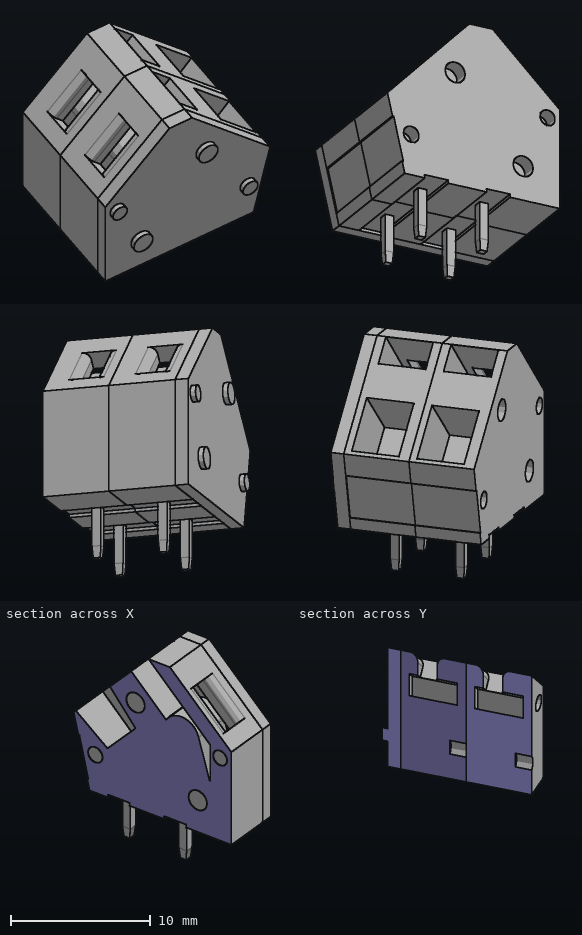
import cadquery as cq
import math


pole_count = 2
pole_pitch = 5.0
end_plate_thickness = 1.0

front_height = 7.84
ridge_height = 13.0
ridge_front_y = 5.45
ridge_back_y = 7.36
back_corner_y = 14.0
back_corner_z = 6.09
bottom_back_y = 12.59
outline = [
    (0, 0),
    (0, front_height),
    (ridge_front_y, ridge_height),
    (ridge_back_y, ridge_height),
    (back_corner_y, back_corner_z),
    (bottom_back_y, 0),
]
front_slope = math.atan2(ridge_height - front_height, ridge_front_y)
back_slope = math.atan2(ridge_height - back_corner_z, back_corner_y - ridge_back_y)
back_lean = math.atan2(back_corner_y - bottom_back_y, back_corner_z)

wire_entry_x = 2.95
wire_entry_width = 2.6
wire_entry_bottom_y = 1.02
wire_entry_top_y = 3.9
wire_entry_round = 0.6
overlap_into_slot = 0.16
wire_throat_width = wire_entry_width - 2 * wire_entry_round

slot_width = 3.63
slot_top_y = 7.38
slot_bottom_y = 8.88
slot_end_y = 1.9
mouth_clearance = 0.33

nose_radius = 1.6
nose_y = 4.44
nose_z = 7.6
nose_front_elevation = math.radians(16.5)

pocket_x = 2.65
pocket_width = 3.61
pocket_bottom_y = 13.78
pocket_top_y = 10.79
pocket_depth = 3.8
pocket_draft = 6.2

pegs = [
    (8.5, 8.9, 1.6),
    (2.99, 2.69, 1.6),
    (1.0, 6.96, 1.2),
    (12.06, 3.2, 1.25),
]
peg_length = 0.4
peg_hole_depth = 1.24

back_recess_depth = 0.1
back_recess_top = 4.32
back_recess_bottom = 0.94

pin_rows_y = [pole_pitch, 2 * pole_pitch]
pin_width = 0.7
pin_tip_width = 0.55
pin_reach = 3.5
pin_tip_length = 0.87
notch_width = 1.91
notch_height = 0.25


def side_prism(points, width, x_start=0):
    """Extrude a closed (y, z) outline along +X."""
    return cq.Workplane("YZ", origin=(x_start, 0, 0)).polyline(points).close().extrude(width)


def front_slope_z(y):
    return front_height + y * math.tan(front_slope)


def back_slope_z(y):
    return ridge_height - (y - ridge_back_y) * math.tan(back_slope)


def beyond_back_slope(y, distance):
    """Point the given distance out from the back slope, square to it from the place at y."""
    return (
        y + distance * math.sin(back_slope),
        back_slope_z(y) + distance * math.cos(back_slope),
    )


def slot_line_z(start_y, y):
    """Height at y of the slot wall that enters the back slope at start_y."""
    return back_slope_z(start_y) - (start_y - y) / math.tan(back_slope)


def spring_slot():
    points = [
        (slot_end_y, slot_line_z(slot_top_y, slot_end_y)),
        (slot_end_y, slot_line_z(slot_bottom_y, slot_end_y)),
        beyond_back_slope(slot_bottom_y, mouth_clearance),
        beyond_back_slope(slot_top_y, mouth_clearance),
    ]
    return side_prism(points, slot_width, (pole_pitch - slot_width) / 2)


def spring_nose():
    """Round nose with a flat front face that runs down tangent to it."""
    x_start = (pole_pitch - slot_width) / 2
    nose = (
        cq.Workplane("YZ", origin=(x_start, nose_y, nose_z))
        .circle(nose_radius)
        .extrude(slot_width)
    )
    tangent_y = nose_y - nose_radius * math.cos(nose_front_elevation)
    tangent_z = nose_z + nose_radius * math.sin(nose_front_elevation)
    foot_z = tangent_z - (tangent_y - slot_end_y) / math.tan(nose_front_elevation)
    foot = side_prism(
        [(tangent_y, tangent_z), (slot_end_y, foot_z), (nose_y, foot_z), (nose_y, nose_z)],
        slot_width,
        x_start,
    )
    return nose.union(foot)


def wire_entry():
    """Square-ended opening whose two sides are rounded over into a narrower throat."""
    height = (wire_entry_top_y - wire_entry_bottom_y) / math.cos(front_slope)
    slot_depth = math.cos(front_slope) * (front_slope_z(slot_top_y) - back_slope_z(slot_top_y))
    depth = slot_depth + overlap_into_slot
    lower_edge = cq.Plane(
        origin=(wire_entry_x, wire_entry_bottom_y, front_slope_z(wire_entry_bottom_y)),
        xDir=(1, 0, 0),
        normal=(0, math.cos(front_slope), math.sin(front_slope)),
    )
    half_entry = wire_entry_width / 2
    half_throat = wire_throat_width / 2
    bend = wire_entry_round * (1 - math.sqrt(0.5))
    return (
        cq.Workplane(lower_edge)
        .moveTo(-half_entry, 0)
        .threePointArc((-half_throat - bend, bend), (-half_throat, wire_entry_round))
        .lineTo(-half_throat, depth)
        .lineTo(half_throat, depth)
        .lineTo(half_throat, wire_entry_round)
        .threePointArc((half_throat + bend, bend), (half_entry, 0))
        .close()
        .extrude(height)
    )


def tool_pocket():
    middle_y = (pocket_bottom_y + pocket_top_y) / 2
    length = (pocket_bottom_y - pocket_top_y) / math.cos(back_slope)
    mouth = cq.Plane(
        origin=(pocket_x, middle_y, back_slope_z(middle_y)),
        xDir=(1, 0, 0),
        normal=(0, -math.sin(back_slope), -math.cos(back_slope)),
    )
    return cq.Workplane(mouth).rect(pocket_width, length).extrude(pocket_depth, taper=pocket_draft)


def back_recess():
    def back_face_y(z):
        return bottom_back_y + z * math.tan(back_lean)

    inset = back_recess_depth / math.cos(back_lean)
    points = [
        (back_face_y(back_recess_bottom), back_recess_bottom),
        (back_face_y(back_recess_bottom) - inset, back_recess_bottom),
        (back_face_y(back_recess_top) - inset, back_recess_top),
        (back_face_y(back_recess_top), back_recess_top),
    ]
    return side_prism(points, pole_pitch)


def peg_cylinders(x_start, length):
    cylinders = cq.Workplane("YZ", origin=(x_start, 0, 0))
    for y, z, diameter in pegs:
        cylinders = cylinders.moveTo(y, z).circle(diameter / 2)
    return cylinders.extrude(length)


def make_housing(pole):
    housing = side_prism(outline, pole_pitch)
    housing = housing.cut(spring_slot().cut(spring_nose()))
    housing = housing.cut(wire_entry()).cut(tool_pocket()).cut(back_recess())
    housing = housing.cut(peg_cylinders(0, peg_hole_depth))
    for y in pin_rows_y:
        notch = cq.Workplane("XY", origin=(pole_pitch / 2, y, 0)).rect(pole_pitch, notch_width)
        housing = housing.cut(notch.extrude(notch_height))
    return housing.translate((pole * pole_pitch, 0, 0))


def make_end_plate():
    x_start = pole_count * pole_pitch
    plate = side_prism(outline, end_plate_thickness, x_start)
    return plate.union(peg_cylinders(x_start + end_plate_thickness, peg_length))


def make_pin(pole, y):
    """Square pin from the roof of its notch down to a tapered tip."""
    x = (pole + 0.5) * pole_pitch
    tip_top = pin_tip_length - pin_reach
    shank = (
        cq.Workplane("XY", origin=(x, y, tip_top))
        .rect(pin_width, pin_width)
        .extrude(notch_height - tip_top)
    )
    tip = (
        cq.Workplane("XY", origin=(x, y, -pin_reach))
        .rect(pin_tip_width, pin_tip_width)
        .workplane(offset=pin_tip_length)
        .rect(pin_width, pin_width)
        .loft()
    )
    return shank.union(tip)


poles = range(pole_count)
housings = [make_housing(pole).val() for pole in poles]
pins = [make_pin(pole, y).val() for pole in poles for y in pin_rows_y]
end_plate = make_end_plate().val()

result = cq.Compound.makeCompound([*housings, *pins, end_plate])